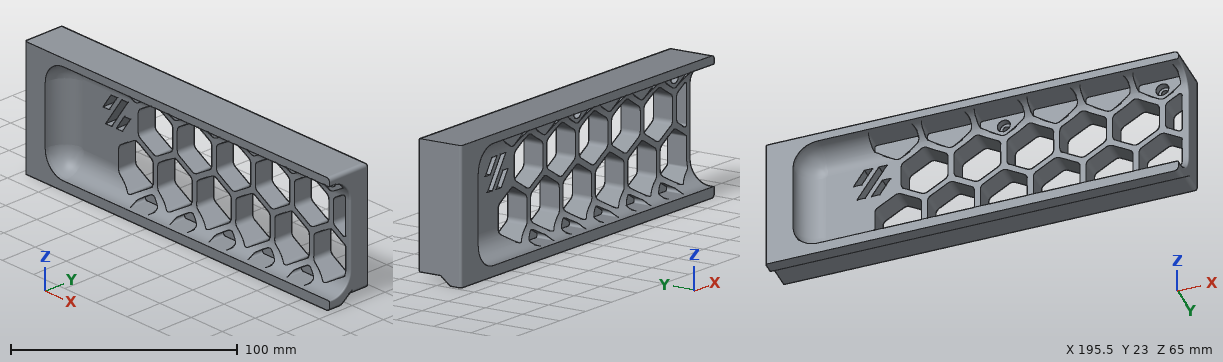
import cadquery as cq
import math

SELECTION_MARGIN = 0.02

LENGTH = 195.5
DEPTH = 23.0
HEIGHT = 65.0
FRONT_LEFT_RADIUS = 1.2
END_CORNER_RADIUS = 2.0
BACK_CHAMFER = 0.5

STEP_HEIGHT = 4.1
STEP_START_Y = 5.9
STEP_END_Y = 11.1

POCKET_LEFT = 13.1
POCKET_BOTTOM = 5.0
POCKET_TOP = 60.8
POCKET_DEPTH = 12.7
POCKET_CORNER_RADIUS = 11.7
POCKET_FLOOR_RADIUS = 10.8
POCKET_END_RADIUS = 0.68

CELL_PITCH = 25.0
CELL_WIDTH = 22.0
CELL_CORNER_RADIUS = 3.0
CELL_TRIM_RADIUS = 1.2
ROW_PITCH = CELL_PITCH * math.cos(math.radians(30))
FIRST_CELL_X = 57.9
LOWER_ROW_Z = 19.5
UPPER_ROW_Z = LOWER_ROW_Z + ROW_PITCH
CELL_COUNT = 6
CELL_LIMIT_X = 192.4

SCREW_CELLS = (2, 5)
SCREW_Z = 55.7
SCREW_DIAMETER = 3.1
SCREW_HEAD_DIAMETER = 6.0
SCREW_HEAD_DEPTH = 3.1

SLOT_CENTER_X = 45.5
SLOT_WIDTH = 4.0
SLOT_SPACING = 6.8
SLOT_LONG_HEIGHT = 15.2
SLOT_SLANT = 0.68


def front_plane(y=0.0):
    """Sketch plane facing -Y: local x is X, local y is Z."""
    return cq.Workplane(cq.Plane(origin=(0, y, 0), xDir=(1, 0, 0), normal=(0, -1, 0)))


def box_selector(low, high):
    """Select edges whose centre lies in a box, its faces included."""
    return cq.selectors.BoxSelector(
        tuple(value - SELECTION_MARGIN for value in low),
        tuple(value + SELECTION_MARGIN for value in high),
    )


def make_body():
    profile = [
        (0, 0),
        (STEP_START_Y, 0),
        (STEP_END_Y, STEP_HEIGHT),
        (DEPTH, STEP_HEIGHT),
        (DEPTH, HEIGHT),
        (0, HEIGHT),
    ]
    body = cq.Workplane("YZ").polyline(profile).close().extrude(LENGTH)
    body = body.faces(">Y").edges("not(>X)").chamfer(BACK_CHAMFER)
    body = body.edges("|Z and <X and <Y").fillet(FRONT_LEFT_RADIUS)
    body = body.edges("|Y and >X").fillet(END_CORNER_RADIUS)
    return body


def make_pocket():
    """Tray-shaped cutter running past the right end of the body."""
    overrun = 2 * POCKET_CORNER_RADIUS
    pocket_length = LENGTH + overrun - POCKET_LEFT
    pocket_height = POCKET_TOP - POCKET_BOTTOM
    pocket = (
        front_plane(POCKET_DEPTH)
        .center(POCKET_LEFT + pocket_length / 2, (POCKET_TOP + POCKET_BOTTOM) / 2)
        .rect(pocket_length, pocket_height)
        .extrude(POCKET_DEPTH)
    )
    pocket = pocket.edges("|Y").fillet(POCKET_CORNER_RADIUS)
    return pocket.faces(">Y").edges().fillet(POCKET_FLOOR_RADIUS)


def make_cell(x, z, depth):
    """Hexagonal cutter from the front to a depth, trimmed to the pocket and the right end rib."""
    across_corners = CELL_WIDTH / math.cos(math.radians(30))
    hexagon = (
        front_plane(depth)
        .center(x, z)
        .transformed(rotate=(0, 0, 90))
        .polygon(6, across_corners)
        .extrude(depth)
    )
    trim = (
        front_plane(depth)
        .center(CELL_LIMIT_X / 2, (POCKET_TOP + POCKET_BOTTOM) / 2)
        .rect(CELL_LIMIT_X, POCKET_TOP - POCKET_BOTTOM)
        .extrude(depth)
    )
    cell = hexagon.intersect(trim)
    trimmed_corners = (
        box_selector((CELL_LIMIT_X, 0, 0), (LENGTH, depth, HEIGHT))
        + box_selector((0, 0, POCKET_TOP), (LENGTH, depth, HEIGHT))
        + box_selector((0, 0, 0), (LENGTH, depth, POCKET_BOTTOM))
    )
    along_depth = cq.selectors.ParallelDirSelector(cq.Vector(0, 1, 0))
    cell = cell.edges(along_depth - trimmed_corners).fillet(CELL_CORNER_RADIUS)
    corners = cell.edges(along_depth & trimmed_corners)
    if corners.size() > 0:
        cell = corners.fillet(CELL_TRIM_RADIUS)
    return cell


def make_screw_hole(x):
    hole = front_plane(DEPTH).center(x, SCREW_Z).circle(SCREW_DIAMETER / 2).extrude(DEPTH)
    head = (
        front_plane(POCKET_DEPTH + SCREW_HEAD_DEPTH)
        .center(x, SCREW_Z)
        .circle(SCREW_HEAD_DIAMETER / 2)
        .extrude(SCREW_HEAD_DEPTH)
    )
    return hole.union(head)


def make_slot(offset, bottom, top):
    """Parallelogram through slot; offset is its sideways place, heights are from the slot centre."""

    def corner(side, height):
        x = SLOT_CENTER_X + offset + side * SLOT_WIDTH / 2 + SLOT_SLANT * height
        return (x, UPPER_ROW_Z + height)

    outline = [corner(-1, bottom), corner(1, bottom), corner(1, top), corner(-1, top)]
    return front_plane(DEPTH).polyline(outline).close().extrude(DEPTH)


result = make_body().cut(make_pocket())

pocket_straight_depth = POCKET_DEPTH - POCKET_FLOOR_RADIUS
pocket_end = box_selector(
    (LENGTH, pocket_straight_depth / 2, POCKET_BOTTOM),
    (LENGTH, POCKET_DEPTH, POCKET_TOP),
)
result = result.edges(pocket_end).fillet(POCKET_END_RADIUS)

for i in range(CELL_COUNT):
    x = FIRST_CELL_X + i * CELL_PITCH
    staggered_x = x + CELL_PITCH / 2
    result = result.cut(make_cell(x, LOWER_ROW_Z, DEPTH))
    result = result.cut(make_cell(staggered_x, UPPER_ROW_Z, DEPTH))
    result = result.cut(make_cell(x, UPPER_ROW_Z + ROW_PITCH, POCKET_DEPTH))
    if i < CELL_COUNT - 1:
        result = result.cut(make_cell(staggered_x, LOWER_ROW_Z - ROW_PITCH, POCKET_DEPTH))

for i in SCREW_CELLS:
    result = result.cut(make_screw_hole(FIRST_CELL_X + i * CELL_PITCH))

half_slot = SLOT_LONG_HEIGHT / 2
result = result.cut(make_slot(-SLOT_SPACING, 0, half_slot))
result = result.cut(make_slot(0, -half_slot, half_slot))
result = result.cut(make_slot(SLOT_SPACING, -half_slot, 0))